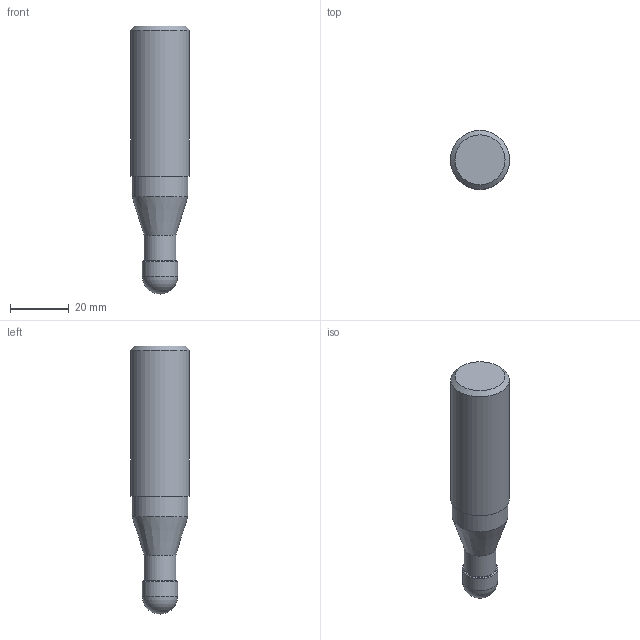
import cadquery as cq

total_length = 91.0

tip_radius = 12.0 / 2
tip_length = 11.3
tip_chamfer = 0.3

neck_radius = 10.8 / 2
collar_radius = 19.0 / 2
shank_radius = 20.0 / 2
shank_chamfer = 1.5
neck_top = 20.0
cone_top = 33.0
shank_bottom = 40.0


def make_tip():
    """Hemisphere-nosed cylinder with a small chamfer around its flat upper face."""
    return (
        cq.Workplane("XZ")
        .moveTo(0, 0)
        .radiusArc((tip_radius, tip_radius), -tip_radius)
        .lineTo(tip_radius, tip_length - tip_chamfer)
        .lineTo(tip_radius - tip_chamfer, tip_length)
        .lineTo(0, tip_length)
        .close()
        .revolve(360, (0, 0, 0), (0, 1, 0))
    )


def make_holder():
    """Turned holder whose neck rests on the upper face of the tip."""
    return (
        cq.Workplane("XZ")
        .moveTo(0, tip_length)
        .lineTo(neck_radius, tip_length)
        .lineTo(neck_radius, neck_top)
        .lineTo(collar_radius, cone_top)
        .lineTo(collar_radius, shank_bottom)
        .lineTo(shank_radius, shank_bottom)
        .lineTo(shank_radius, total_length - shank_chamfer)
        .lineTo(shank_radius - shank_chamfer, total_length)
        .lineTo(0, total_length)
        .close()
        .revolve(360, (0, 0, 0), (0, 1, 0))
    )


tip = make_tip()
holder = make_holder()

result = cq.Compound.makeCompound([tip.val(), holder.val()])